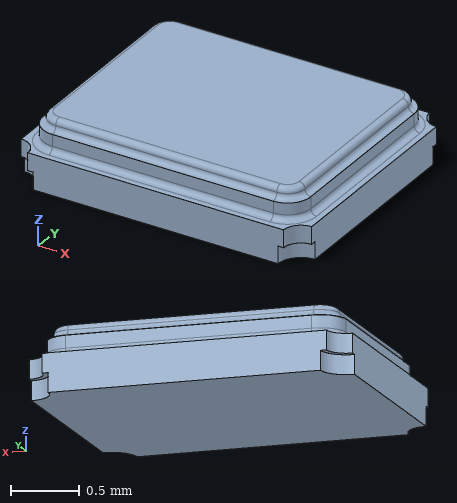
import cadquery as cq
import math

base_length = 2.5
base_width = 2.05
base_height = 0.3
lower_height = base_height / 2

upper_notch_radius = 0.15
lower_notch_radius = 0.197

total_height = 0.55
blend_radius = 0.05
lid_inset = 0.1
lid_corner_radius = 0.2

core_length = base_length - 2 * (lid_inset + lid_corner_radius)
core_width = base_width - 2 * (lid_inset + lid_corner_radius)

foot_reach = lid_corner_radius + blend_radius
wall_reach = lid_corner_radius
cap_reach = wall_reach - blend_radius
top_reach = cap_reach - blend_radius

wall_bottom = base_height + blend_radius
cap_bottom = total_height - blend_radius
wall_top = cap_bottom - blend_radius


def corner_points(length, width):
    return [(sx * length / 2, sy * width / 2) for sx in (-1, 1) for sy in (-1, 1)]


def make_base():
    base = cq.Workplane("XY").box(base_length, base_width, base_height, centered=(True, True, False))
    corners = corner_points(base_length, base_width)
    upper_notches = cq.Workplane("XY").pushPoints(corners).circle(upper_notch_radius).extrude(base_height)
    lower_notches = cq.Workplane("XY").pushPoints(corners).circle(lower_notch_radius).extrude(lower_height)
    return base.cut(upper_notches).cut(lower_notches)


def rim_section(plane):
    """Rim cross-section: concave foot, upright wall, concave shoulder and convex top edge."""
    diagonal = blend_radius * math.sqrt(0.5)
    return (
        cq.Workplane(plane)
        .moveTo(0, base_height)
        .lineTo(foot_reach, base_height)
        .threePointArc((foot_reach - diagonal, wall_bottom - diagonal), (wall_reach, wall_bottom))
        .lineTo(wall_reach, wall_top)
        .threePointArc((wall_reach - diagonal, cap_bottom - diagonal), (cap_reach, cap_bottom))
        .threePointArc((top_reach + diagonal, cap_bottom + diagonal), (top_reach, total_height))
        .lineTo(0, total_height)
        .close()
    )


def rim_side(core_offset, side_length, angle):
    """Straight rim along one core side; the angle turns its outward direction from +X."""
    side = rim_section("XZ").extrude(side_length / 2, both=True)
    return side.translate((core_offset, 0, 0)).rotate((0, 0, 0), (0, 0, 1), angle)


def make_lid():
    core_height = total_height - base_height
    core = cq.Workplane("XY").box(core_length, core_width, core_height, centered=(True, True, False))
    lid = core.translate((0, 0, base_height))
    for angle in (0, 180):
        lid = lid.union(rim_side(core_length / 2, core_width, angle))
    for angle in (90, 270):
        lid = lid.union(rim_side(core_width / 2, core_length, angle))
    corner = rim_section("XZ").revolve(360, (0, 0, 0), (0, 1, 0))
    for x, y in corner_points(core_length, core_width):
        lid = lid.union(corner.translate((x, y, 0)))
    return lid


result = make_base().union(make_lid()).clean()